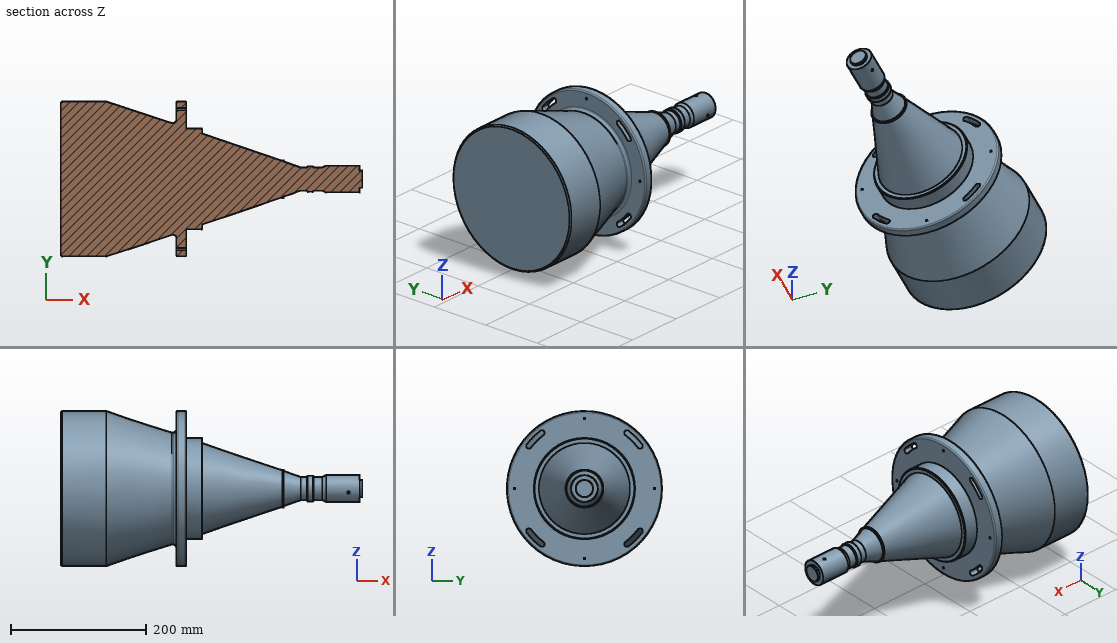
import cadquery as cq
import math

length = 447.0
max_radius = 230.0 / 2

head_chamfer = 2.2
head_end = 67.5
taper_end = 164.5
taper_end_radius = 83.0

flange_start = 171.0
flange_end = 186.5
flange_fillet = 2.2
flare_radius = 4.5

boss_end = 210.0
boss_radius = 75.0
boss_chamfer = 1.5

cone_start_radius = 67.5
lip_start = 328.0
lip_end = 330.3
lip_radius = 28.0
cone_end_radius = 27.3
short_cone_radius = 26.5
neck_start = 355.5
neck_radius = 17.5

collar_start = 364.5
collar_end = 375.0
collar_radius = 19.0
collar_chamfer = 1.5

barrel_cone_start = 387.5
barrel_start = 393.3
barrel_end = 443.0
barrel_radius = 20.0
tip_radius = 13.0
tip_chamfer = 0.5

slot_count = 4
slot_circle_radius = 103.5
slot_width = 8.0
slot_half_angle = 9.8
pin_hole_count = 4
pin_hole_diameter = 2.5

screw_count = 3
screw_first_angle = 77.0
screw_diameter = 3.5
screw_depth = 2.2
screw_station = 426.5


def polar(radius, angle):
    """Y and Z of a point on a circle about the X axis, angle in degrees from +Y."""
    turn = math.radians(angle)
    return radius * math.cos(turn), radius * math.sin(turn)


def make_body():
    flare_outer = taper_end_radius + flare_radius
    flare_start = flange_start - flare_radius
    bend = math.sqrt(0.5) * flare_radius
    flare_middle = (flare_start + bend, flare_outer - bend)
    profile = (
        cq.Workplane("XY")
        .lineTo(0, max_radius - head_chamfer)
        .lineTo(head_chamfer, max_radius)
        .lineTo(head_end, max_radius)
        .lineTo(taper_end, taper_end_radius)
        .lineTo(flare_start, taper_end_radius)
        .threePointArc(flare_middle, (flange_start, flare_outer))
        .lineTo(flange_start, max_radius - flange_fillet)
        .radiusArc((flange_start + flange_fillet, max_radius), flange_fillet)
        .lineTo(flange_end - flange_fillet, max_radius)
        .radiusArc((flange_end, max_radius - flange_fillet), flange_fillet)
        .lineTo(flange_end, boss_radius)
        .lineTo(boss_end - boss_chamfer, boss_radius)
        .lineTo(boss_end, boss_radius - boss_chamfer)
        .lineTo(boss_end, cone_start_radius)
        .lineTo(lip_start, cone_end_radius)
        .lineTo(lip_start, lip_radius)
        .lineTo(lip_end, lip_radius)
        .lineTo(lip_end, short_cone_radius)
        .lineTo(neck_start, neck_radius)
        .lineTo(collar_start, neck_radius)
        .lineTo(collar_start + collar_chamfer, collar_radius)
        .lineTo(collar_end - collar_chamfer, collar_radius)
        .lineTo(collar_end, neck_radius)
        .lineTo(barrel_cone_start, neck_radius)
        .lineTo(barrel_start, barrel_radius)
        .lineTo(barrel_end, barrel_radius)
        .lineTo(barrel_end, tip_radius)
        .lineTo(length - tip_chamfer, tip_radius)
        .lineTo(length, tip_radius - tip_chamfer)
        .lineTo(length, 0)
        .close()
    )
    return profile.revolve(360, (0, 0, 0), (1, 0, 0))


def make_slot(middle_angle):
    """Arc-shaped cutter with round ends, passing through the flange."""
    inner = slot_circle_radius - slot_width / 2
    outer = slot_circle_radius + slot_width / 2
    end_reach = math.degrees(slot_width / 2 / slot_circle_radius)
    first = middle_angle - slot_half_angle + end_reach
    last = middle_angle + slot_half_angle - end_reach
    return (
        cq.Workplane("YZ", origin=(flange_start, 0, 0))
        .moveTo(*polar(inner, first))
        .threePointArc(polar(inner, middle_angle), polar(inner, last))
        .threePointArc(polar(slot_circle_radius, last + end_reach), polar(outer, last))
        .threePointArc(polar(outer, middle_angle), polar(outer, first))
        .threePointArc(polar(slot_circle_radius, first - end_reach), polar(inner, first))
        .close()
        .extrude(flange_end - flange_start)
    )


def make_pin_holes():
    return (
        cq.Workplane("YZ", origin=(flange_start, 0, 0))
        .polarArray(slot_circle_radius, 0, 360, pin_hole_count)
        .circle(pin_hole_diameter / 2)
        .extrude(flange_end - flange_start)
    )


def make_screw_hole(angle):
    """Shallow radial cutter reaching inwards from outside the barrel."""
    y, z = polar(1, angle)
    floor = barrel_radius - screw_depth
    return cq.Workplane(cq.Solid.makeCylinder(
        screw_diameter / 2,
        2 * screw_depth,
        cq.Vector(screw_station, floor * y, floor * z),
        cq.Vector(0, y, z),
    ))


result = make_body().cut(make_pin_holes())
for index in range(slot_count):
    result = result.cut(make_slot((index + 0.5) * 360 / slot_count))
for index in range(screw_count):
    result = result.cut(make_screw_hole(screw_first_angle + index * 360 / screw_count))